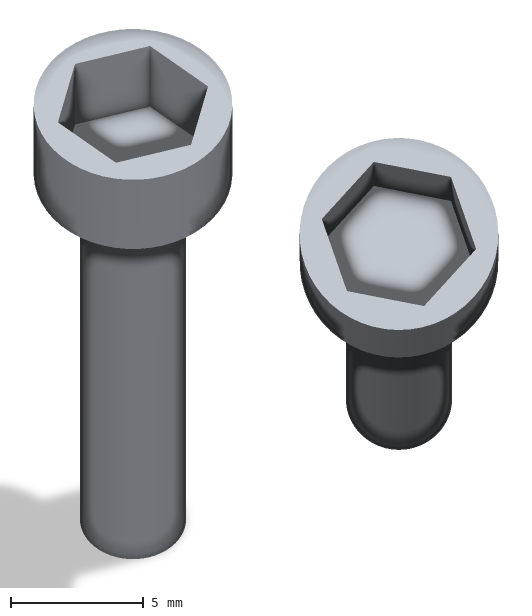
import cadquery as cq
import math

total_length = 24.0

head_diameter = 7.5
head_height = 4.0

shank_diameter = 4.0
shank_length = total_length - head_height

socket_across_flats = 5.14
socket_across_corners = socket_across_flats / math.cos(math.radians(30))
socket_depth = 3.5


def make_shank():
    """Cylinder standing on the XY plane."""
    return cq.Workplane("XY").circle(shank_diameter / 2).extrude(shank_length)


def make_head():
    """Cylinder on top of the shank."""
    return (
        cq.Workplane("XY")
        .workplane(offset=shank_length)
        .circle(head_diameter / 2)
        .extrude(head_height)
    )


def make_socket():
    """Hexagonal prism sunk from the top of the head."""
    return (
        cq.Workplane("XY")
        .workplane(offset=total_length)
        .transformed(rotate=(0, 0, 90))
        .polygon(6, socket_across_corners)
        .extrude(-socket_depth)
    )


result = make_shank().union(make_head()).cut(make_socket())